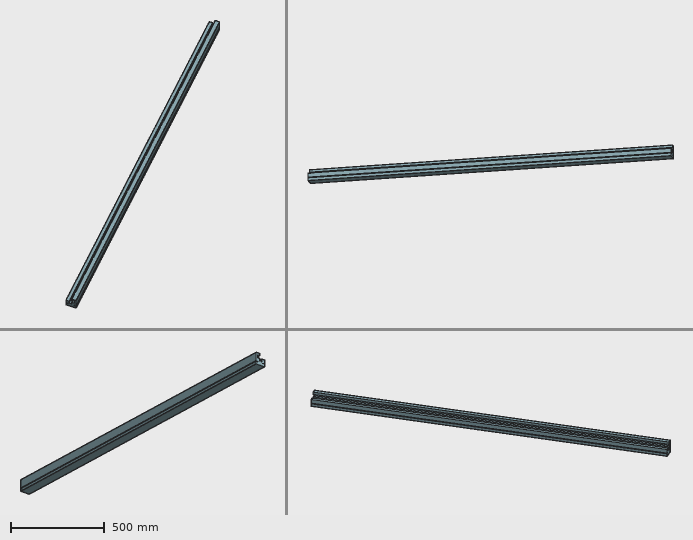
import cadquery as cq

rail_length = 2000.0
rail_width = 60.0
rail_height = 70.0
ledge_height = 41.5
corner_chamfer = 1.25

top_slot_left = 19.0
top_slot_right = 33.5
top_slot_floor = 26.25

side_slot_end = 49.0
side_slot_roof = 56.5
arm_left = top_slot_right

groove_center_height = 17.75
groove_width = 0.75
groove_depth = 12.5
groove_flare = 1.75


def groove_profile(face_x, inward):
    """Groove corners from the lower lip of the mouth round to the upper lip.

    face_x is the X of the face the groove is cut into; inward is +1 or -1 along X.
    """
    bottom = groove_center_height - groove_width / 2
    top = groove_center_height + groove_width / 2
    throat_x = face_x + inward * groove_flare
    end_x = face_x + inward * groove_depth
    return [
        (face_x, bottom - groove_flare),
        (throat_x, bottom),
        (end_x, bottom),
        (end_x, top),
        (throat_x, top),
        (face_x, top + groove_flare),
    ]


def extrude_along_rail(outline):
    """Extrude a closed XZ outline from Y = 0 to the far end of the rail."""
    return cq.Workplane("XZ").polyline(outline).close().extrude(-rail_length)


def make_rail():
    """L-shaped rail with a top slot, a side slot under the arm and two side grooves."""
    bottom_edge = [
        (0, corner_chamfer),
        (corner_chamfer, 0),
        (rail_width - corner_chamfer, 0),
        (rail_width, corner_chamfer),
    ]
    right_groove = groove_profile(rail_width, -1)
    arm = [
        (rail_width, rail_height - corner_chamfer),
        (rail_width - corner_chamfer, rail_height),
        (arm_left, rail_height),
        (arm_left, side_slot_roof),
        (side_slot_end, side_slot_roof),
        (side_slot_end, ledge_height),
    ]
    ledge = [
        (top_slot_right, ledge_height),
        (top_slot_right, top_slot_floor),
        (top_slot_left, top_slot_floor),
        (top_slot_left, ledge_height),
        (0, ledge_height),
    ]
    left_groove = list(reversed(groove_profile(0, 1)))
    return extrude_along_rail(bottom_edge + right_groove + arm + ledge + left_groove)


def make_strip():
    """Strip that fills the left groove, flush with the rail's left face."""
    return extrude_along_rail(groove_profile(0, 1))


rail = make_rail()
strip = make_strip()

result = cq.Compound.makeCompound([rail.val(), strip.val()])